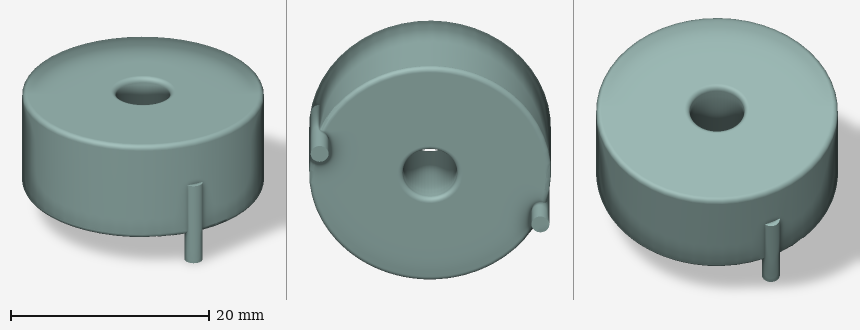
import cadquery as cq

body_diameter = 24.4
body_height = 10.5
bore_diameter = 5.5
edge_radius = 0.5

overall_length = 25.5
pin_diameter = 1.8
pin_drop = 3.09
pin_rise = 5.65
pin_offset = (overall_length - pin_diameter) / 2


def make_body():
    """Ring with all four circular edges rounded."""
    ring = cq.Workplane("XY").circle(body_diameter / 2).circle(bore_diameter / 2).extrude(body_height)
    return ring.faces("<Z or >Z").edges().fillet(edge_radius)


def make_pins():
    """Pins on opposite sides along X."""
    return (
        cq.Workplane("XY", origin=(0, 0, -pin_drop))
        .pushPoints([(-pin_offset, 0), (pin_offset, 0)])
        .circle(pin_diameter / 2)
        .extrude(pin_drop + pin_rise)
    )


result = make_body().union(make_pins())